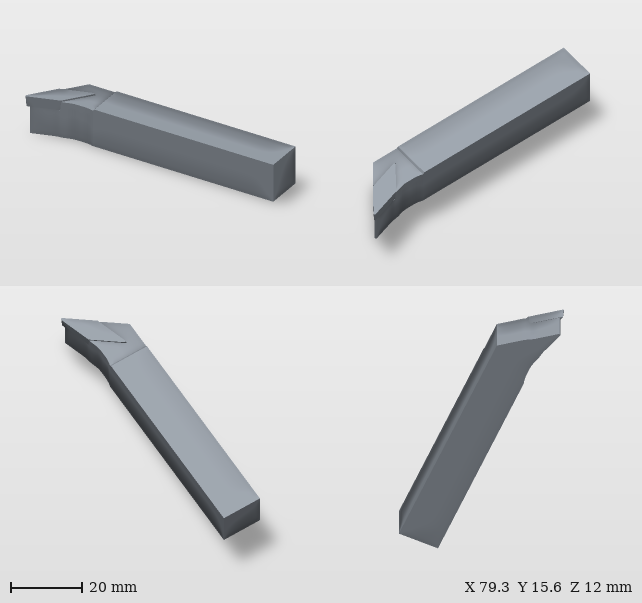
import cadquery as cq
import math

tool_length = 79.3
shank_size = 12.0
shank_back_y = 15.6
shank_front_y = shank_back_y - shank_size
head_end_x = 20.1
head_drop = 0.5
head_top = shank_size - head_drop

insert_side = 11.1
insert_thickness = 3.3
nose_radius = 0.4
relief_angle = 5.0
shallow_angle = 17.5
steep_angle = 52.5
half_tip_angle = (steep_angle - shallow_angle) / 2
axis_angle = (steep_angle + shallow_angle) / 2

support_inset = 0.37
blend_center = 10.95
blend_half_length = 1.9
neck_arc_start_x = 12.2
neck_flat_start_x = 14.8
neck_flat_end_x = 17.0
pocket_side = 15.9


def direction(angle):
    return cq.Vector(math.cos(math.radians(angle)), math.sin(math.radians(angle)))


def flat(point):
    return (point.x, point.y)


shallow = direction(shallow_angle)
steep = direction(steep_angle)
axis = direction(axis_angle)

nose_center = cq.Vector(nose_radius, nose_radius)
corner_to_center = nose_radius / math.sin(math.radians(half_tip_angle))
tangent_length = nose_radius / math.tan(math.radians(half_tip_angle))
corner_to_nose = corner_to_center - nose_radius
tip = nose_center - axis * corner_to_center
inner_corner = tip + (shallow + steep) * insert_side


def make_insert():
    outline = (
        cq.Workplane("XY", origin=(0, 0, shank_size))
        .moveTo(*flat(tip + shallow * tangent_length))
        .lineTo(*flat(tip + shallow * insert_side))
        .lineTo(*flat(inner_corner - steep * tangent_length))
        .threePointArc(
            flat(inner_corner - axis * corner_to_nose),
            flat(inner_corner - shallow * tangent_length),
        )
        .lineTo(*flat(tip + steep * insert_side))
        .lineTo(*flat(tip + steep * tangent_length))
        .threePointArc(
            flat(tip + axis * corner_to_nose),
            flat(tip + shallow * tangent_length),
        )
        .close()
    )
    return outline.extrude(-insert_thickness, taper=relief_angle)


def blend_points(edge, inward):
    """Start, middle and end of an S-shaped step from the support side to the insert edge line."""
    center = tip + edge * blend_center
    start = center - edge * blend_half_length + inward * support_inset
    middle = center + inward * (support_inset / 2)
    end = center + edge * blend_half_length
    return [flat(p) for p in (start, middle, end)]


def make_head():
    front_start, front_middle, front_end = blend_points(shallow, direction(shallow_angle + 90))
    back_start, back_middle, back_end = blend_points(steep, direction(steep_angle - 90))

    support_tip = tip + axis * (support_inset / math.sin(math.radians(half_tip_angle)))
    nose_start = support_tip + steep * tangent_length
    nose_middle = support_tip + axis * corner_to_nose
    nose_end = support_tip + shallow * tangent_length

    neck_arc_y = tip.y + (neck_arc_start_x - tip.x) * math.tan(math.radians(shallow_angle))
    neck_rise = (neck_flat_start_x - neck_arc_start_x) * math.tan(math.radians(shallow_angle / 2))
    neck_y = neck_arc_y + neck_rise
    back_corner_x = tip.x + (shank_back_y - tip.y) / math.tan(math.radians(steep_angle))

    return (
        cq.Workplane("XY")
        .moveTo(*flat(nose_end))
        .lineTo(*front_start)
        .tangentArcPoint(front_middle, relative=False)
        .tangentArcPoint(front_end, relative=False)
        .lineTo(neck_arc_start_x, neck_arc_y)
        .tangentArcPoint((neck_flat_start_x, neck_y), relative=False)
        .lineTo(neck_flat_end_x, neck_y)
        .tangentArcPoint((head_end_x, shank_front_y), relative=False)
        .lineTo(head_end_x, shank_back_y)
        .lineTo(back_corner_x, shank_back_y)
        .lineTo(*back_end)
        .tangentArcPoint(back_middle, relative=False)
        .tangentArcPoint(back_start, relative=False)
        .lineTo(*flat(nose_start))
        .threePointArc(flat(nose_middle), flat(nose_end))
        .close()
        .extrude(head_top)
    )


def make_shank():
    return (
        cq.Workplane("XZ", origin=(0, shank_back_y, 0))
        .moveTo(head_end_x, 0)
        .lineTo(tool_length, 0)
        .lineTo(tool_length, shank_size)
        .lineTo(head_end_x + head_drop, shank_size)
        .lineTo(head_end_x, head_top)
        .close()
        .extrude(shank_size)
    )


def make_holder():
    pocket_start = inner_corner - (shallow + steep) * pocket_side
    corners = [
        pocket_start,
        pocket_start + shallow * pocket_side,
        inner_corner,
        pocket_start + steep * pocket_side,
    ]
    pocket = (
        cq.Workplane("XY", origin=(0, 0, shank_size))
        .polyline([flat(p) for p in corners])
        .close()
        .extrude(-insert_thickness, taper=relief_angle)
    )
    return make_shank().union(make_head()).cut(pocket)


insert = make_insert()
holder = make_holder()
result = cq.Compound.makeCompound([holder.solids().val(), insert.val()])